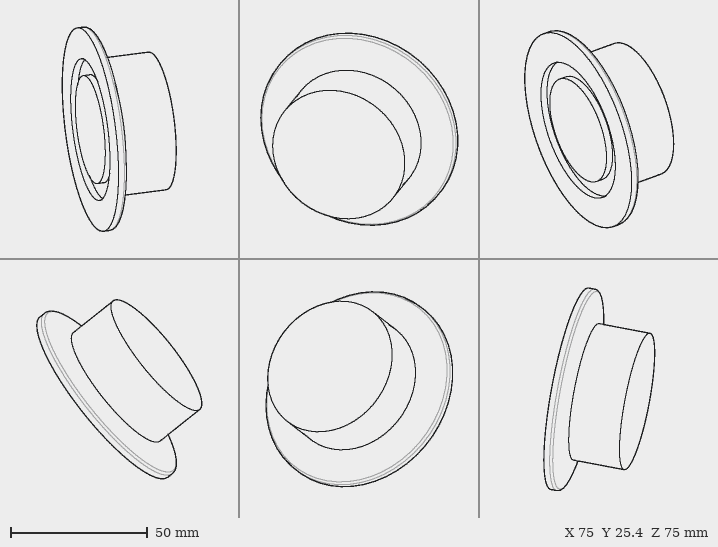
import cadquery as cq
import math

flange_diameter = 75.0
rim_height = 3.0
cone_angle = 15.0
rim_corner_radius = 1.0

stub_diameter = 50.8
overall_length = 25.4

recess_diameter = 52.2
boss_diameter = 39.8
recess_depth = 2.6

flange_radius = flange_diameter / 2
stub_radius = stub_diameter / 2
cone_height = (flange_radius - stub_radius) * math.tan(math.radians(cone_angle))
cone_top = rim_height + cone_height

turn_angle = math.radians(90 - cone_angle)
tangent_length = rim_corner_radius * math.tan(turn_angle / 2)
arc_center = (flange_radius - rim_corner_radius, rim_height - tangent_length)


def rim_arc_point(angle):
    """Point on the rim rounding, with the angle measured from the rim side."""
    return (
        arc_center[0] + rim_corner_radius * math.cos(angle),
        arc_center[1] + rim_corner_radius * math.sin(angle),
    )


def flange_body():
    """Flange and stub as one revolution about Y, face at Y = 0."""
    return (
        cq.Workplane("XY")
        .lineTo(flange_radius, 0)
        .lineTo(*rim_arc_point(0))
        .threePointArc(rim_arc_point(turn_angle / 2), rim_arc_point(turn_angle))
        .lineTo(stub_radius, cone_top)
        .lineTo(stub_radius, overall_length)
        .lineTo(0, overall_length)
        .close()
        .revolve(360, (0, 0), (0, 1))
    )


def recess_ring():
    """Ring of material removed from the flange face."""
    return (
        cq.Workplane("XZ")
        .circle(recess_diameter / 2)
        .circle(boss_diameter / 2)
        .extrude(-recess_depth)
    )


result = flange_body().cut(recess_ring())